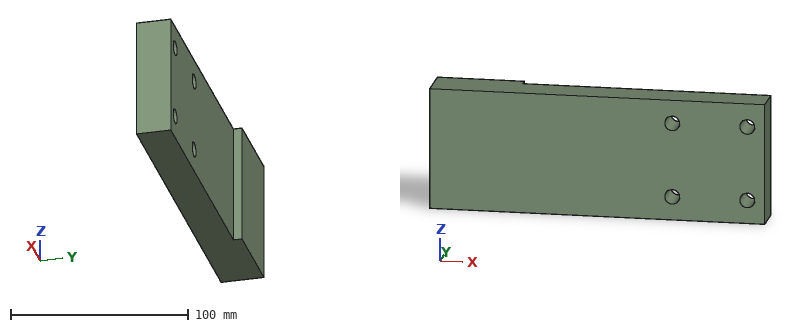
import cadquery as cq

length = 192.0
height = 70.0
pad_thickness = 25.0
plate_thickness = 20.0
pad_length = 50.0

hole_diameter = 8.5
hole_spacing = 43.0
hole_end_distance = 10.0
pattern_center_x = length - hole_end_distance - hole_spacing / 2
pattern_center_z = height / 2


def stepped_plate():
    """Extrude the stepped XY profile upward along Z."""
    return (
        cq.Workplane("XY")
        .lineTo(length, 0)
        .lineTo(length, plate_thickness)
        .lineTo(pad_length, plate_thickness)
        .lineTo(pad_length, pad_thickness)
        .lineTo(0, pad_thickness)
        .close()
        .extrude(height)
    )


def mounting_holes():
    """Four cylinders that pass through the plate along Y."""
    return (
        cq.Workplane("XZ")
        .center(pattern_center_x, pattern_center_z)
        .rarray(hole_spacing, hole_spacing, 2, 2)
        .circle(hole_diameter / 2)
        .extrude(-pad_thickness)
    )


result = stepped_plate().cut(mounting_holes())